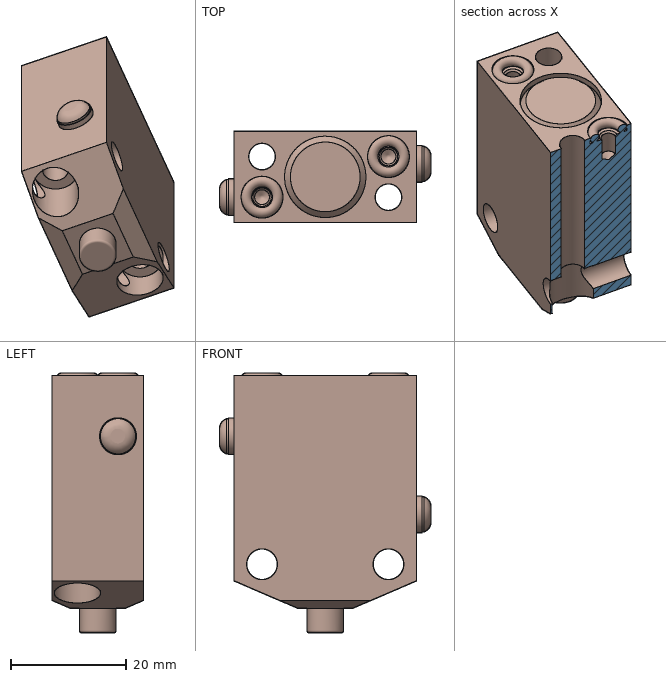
import cadquery as cq
import math

overall_width = 36.85
overall_height = 45.2

body_width = 31.8
body_depth = 15.9
body_height = 40.5
taper_height = 4.8
flat_side = 9.5

stem_diameter = 6.37
stem_edge_radius = 0.4

hole_x = 11.0
hole_y = 3.53
cross_hole_diameter = 5.3
cross_hole_z = 7.7
bolt_hole_diameter = 4.55
bolt_head_diameter = 8.05
bolt_head_top_z = 10.4

seat_diameter = 7.3
seat_depth = 1.25
ring_tube_radius = 0.9
ring_centre_radius = 2.7
ring_rise = 0.45
insert_hole_diameter = 2.58
insert_mouth_diameter = 3.2
insert_hole_depth = 4.5
drill_tip_angle = 118

groove_outer_diameter = 14.15
groove_disc_diameter = 12.1
groove_depth = 1.2

button_radius = 3.2
button_collar_length = 0.95
button_cap_radius = 3.07
button_cap_length = 0.35
button_flat_radius = 1.25
button_length = (overall_width - body_width) / 2
left_button_y = -hole_y
left_button_z = body_height - 10.6
right_button_y = 2.25
right_button_z = body_height - 24.15

stem_length = overall_height - body_height - ring_rise


def make_body():
    """Block whose lower end tapers on all four sides to a square flat."""
    slope = 2 * taper_height / (body_width - flat_side)
    block = cq.Workplane("XY").box(body_width, body_depth, body_height, centered=(True, True, False))
    wide_side = flat_side + 2 * body_height / slope
    envelope = (
        cq.Workplane("XY")
        .rect(flat_side, flat_side)
        .workplane(offset=body_height)
        .rect(wide_side, wide_side)
        .loft(ruled=True)
    )
    return block.intersect(envelope)


def make_stem():
    return (
        cq.Workplane("XY")
        .circle(stem_diameter / 2)
        .extrude(-stem_length)
        .faces("<Z")
        .fillet(stem_edge_radius)
    )


def make_cross_holes():
    """Holes along Y near both lower corners."""
    return (
        cq.Workplane("XZ")
        .pushPoints([(-hole_x, cross_hole_z), (hole_x, cross_hole_z)])
        .circle(cross_hole_diameter / 2)
        .extrude(body_depth, both=True)
    )


def make_bolt_holes():
    """Vertical through holes, counterbored from the sloped underside."""
    spots = [(-hole_x, hole_y), (hole_x, -hole_y)]
    shanks = cq.Workplane("XY").pushPoints(spots).circle(bolt_hole_diameter / 2).extrude(body_height)
    heads = cq.Workplane("XY").pushPoints(spots).circle(bolt_head_diameter / 2).extrude(bolt_head_top_z)
    return shanks.union(heads)


def make_groove():
    """Groove with an upright outer wall and a conical inner wall, which leaves a disc flush with the top."""
    rim = groove_outer_diameter / 2
    return (
        cq.Workplane("XZ")
        .moveTo(groove_disc_diameter / 2, body_height)
        .lineTo(rim, body_height)
        .lineTo(rim, body_height - groove_depth)
        .close()
        .revolve(360, (0, 0, 0), (0, 1, 0))
    )


def make_seat():
    """Ring seat with a chamfered, drill-tipped blind hole, cut down from z = 0."""
    hole_radius = insert_hole_diameter / 2
    mouth_radius = insert_mouth_diameter / 2
    tip_length = hole_radius / math.tan(math.radians(drill_tip_angle / 2))
    hole_bottom = -seat_depth - insert_hole_depth
    return (
        cq.Workplane("XZ")
        .lineTo(seat_diameter / 2, 0)
        .lineTo(seat_diameter / 2, -seat_depth)
        .lineTo(mouth_radius, -seat_depth)
        .lineTo(hole_radius, -seat_depth - (mouth_radius - hole_radius))
        .lineTo(hole_radius, hole_bottom)
        .lineTo(0, hole_bottom - tip_length)
        .close()
        .revolve(360, (0, 0, 0), (0, 1, 0))
    )


def make_ring():
    """Sealing ring that stands slightly above z = 0."""
    return (
        cq.Workplane("XZ")
        .center(ring_centre_radius, ring_rise - ring_tube_radius)
        .circle(ring_tube_radius)
        .revolve(360, (-ring_centre_radius, 0, 0), (-ring_centre_radius, 1, 0))
    )


def make_button():
    """Button along +X from x = 0: collar, set-back cap and a rounded edge that runs into a flat end."""
    cap_end = button_collar_length + button_cap_length
    dome_rise = button_length - cap_end
    dome_run = button_cap_radius - button_flat_radius
    dome_radius = (dome_run**2 + dome_rise**2) / (2 * dome_rise)
    half_angle = math.asin(dome_run / dome_radius) / 2
    dome_middle = (
        button_length - dome_radius * (1 - math.cos(half_angle)),
        button_flat_radius + dome_radius * math.sin(half_angle),
    )
    return (
        cq.Workplane("XY")
        .lineTo(0, button_radius)
        .lineTo(button_collar_length, button_radius)
        .lineTo(button_collar_length, button_cap_radius)
        .lineTo(cap_end, button_cap_radius)
        .threePointArc(dome_middle, (button_length, button_flat_radius))
        .lineTo(button_length, 0)
        .close()
        .revolve(360, (0, 0, 0), (1, 0, 0))
    )


result = make_body().union(make_stem())
result = result.cut(make_cross_holes()).cut(make_bolt_holes()).cut(make_groove())

for x, y in [(-hole_x, -hole_y), (hole_x, hole_y)]:
    position = (x, y, body_height)
    result = result.cut(make_seat().translate(position))
    result = result.union(make_ring().translate(position))

right_button = make_button().translate((body_width / 2, right_button_y, right_button_z))
left_button = make_button().mirror("YZ").translate((-body_width / 2, left_button_y, left_button_z))
result = result.union(right_button).union(left_button)